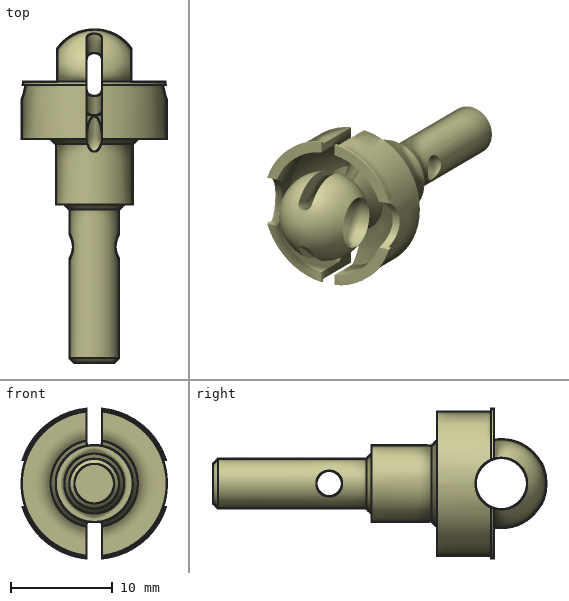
import cadquery as cq
import math


ball_radius = 4.45
eye_diameter = 5.05

total_length = 32.86
rim_y = -0.71
lip_width = 0.33
lip_radius = 7.415
cup_radius = 7.16
cup_length = 5.65

cavity_radius = 6.35
cavity_wall_depth = 3.4
cavity_depth = 5.0
cavity_floor_radius = 4.5

neck_start_y = -3.98
neck_start_radius = 1.8
neck_end_radius = 3.3

collar_radius = 3.8
collar_length = 6.45
shank_radius = 2.45
chamfer = 0.5
pin_hole_diameter = 2.5
pin_hole_from_tip = 11.45

slot_width = 1.5
slot_disc_radius = 12.5
slot_floor_z = 1.22

lip_end_y = rim_y - lip_width
cup_end_y = rim_y - cup_length
cavity_wall_end_y = rim_y - cavity_wall_depth
cavity_floor_y = rim_y - cavity_depth
collar_end_y = cup_end_y - collar_length
tip_y = ball_radius - total_length


def turned_body():
    """Ball, neck, cup, collar and shank as one revolved profile (x = radius)."""
    ball_end_radius = math.sqrt(ball_radius**2 - neck_start_y**2)
    return (
        cq.Workplane("XY")
        .moveTo(0, ball_radius)
        .threePointArc((ball_radius, 0), (ball_end_radius, neck_start_y))
        .lineTo(neck_start_radius, neck_start_y)
        .lineTo(neck_end_radius, cavity_floor_y)
        .radiusArc((cavity_radius, cavity_wall_end_y), -cavity_floor_radius)
        .lineTo(cavity_radius, rim_y)
        .lineTo(lip_radius, rim_y)
        .lineTo(lip_radius, lip_end_y)
        .lineTo(cup_radius, lip_end_y)
        .lineTo(cup_radius, cup_end_y)
        .lineTo(collar_radius + chamfer, cup_end_y)
        .lineTo(collar_radius, cup_end_y - chamfer)
        .lineTo(collar_radius, collar_end_y)
        .lineTo(shank_radius + chamfer, collar_end_y)
        .lineTo(shank_radius, collar_end_y - chamfer)
        .lineTo(shank_radius, tip_y + chamfer)
        .lineTo(shank_radius - chamfer, tip_y)
        .lineTo(0, tip_y)
        .close()
        .revolve(360, (0, 0), (0, 1))
    )


def cross_hole(diameter, y):
    """Cylinder along X right through the part, on the axis at the given y."""
    half_length = 2 * lip_radius
    return cq.Workplane("YZ").center(y, 0).circle(diameter / 2).extrude(half_length, both=True)


def slot_disc():
    """Disc with a fully rounded edge, standing on the slot floor above the ball centre."""
    edge_radius = slot_width / 2
    flat_radius = slot_disc_radius - edge_radius
    centre_z = slot_floor_z + slot_disc_radius
    return (
        cq.Workplane("XY", origin=(0, 0, centre_z))
        .moveTo(-edge_radius, 0)
        .lineTo(-edge_radius, flat_radius)
        .threePointArc((0, slot_disc_radius), (edge_radius, flat_radius))
        .lineTo(edge_radius, 0)
        .close()
        .revolve(360, (0, 0), (1, 0))
    )


upper_slot = slot_disc()

result = turned_body()
result = result.cut(cross_hole(eye_diameter, 0))
result = result.cut(cross_hole(pin_hole_diameter, tip_y + pin_hole_from_tip))
result = result.cut(upper_slot).cut(upper_slot.mirror("XY"))